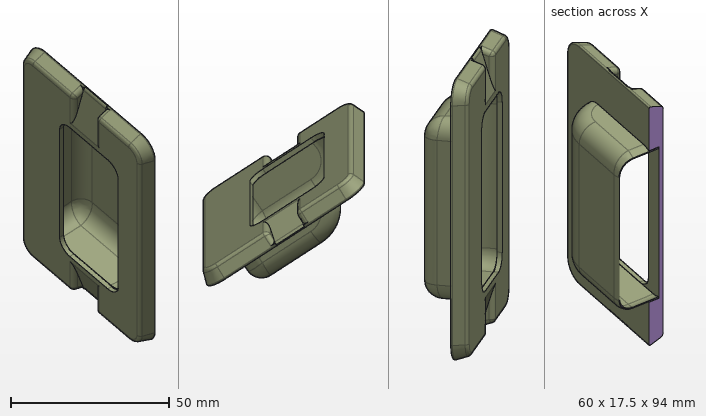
import cadquery as cq
import math


plate_width = 60.0
plate_height = 94.0
plate_thickness = 5.45
plate_corner_radius = 7.05
side_taper = 20.0
front_edge_radius = 1.5
back_edge_radius = 0.5

skin_thickness = 1.7
opening_left = -10.15
opening_right = 18.05
opening_height = 60.2
opening_corner_radius = 4.9

notch_center_x = 1.9
notch_width = 14.1
notch_start_z = 32.3
notch_angle = 17.0
notch_edge_radius = 1.7
notch_lip_radius = 1.7
notch_floor_width = notch_width - 2 * notch_edge_radius

overall_depth = 17.5
cup_left = -19.2
cup_right = 19.0
cup_height = 60.9
cup_wall = 0.5
cup_sweep_radius = 13.5
cup_left_radius = 5.1
cup_end_radius = 6.2

tolerance = 0.01

taper_slope = math.tan(math.radians(side_taper))
ramp_slope = math.tan(math.radians(notch_angle))

rim_loss = back_edge_radius * (taper_slope + 1 / math.cos(math.radians(side_taper)) - 1)
sharp_width = plate_width + 2 * rim_loss
sharp_height = plate_height + 2 * rim_loss


def plate_blank():
    """Rounded rectangle tapering towards the front, with both rims rounded."""
    blank = (
        cq.Workplane("XZ", origin=(0, plate_thickness, 0))
        .sketch()
        .rect(sharp_width, sharp_height)
        .vertices()
        .fillet(plate_corner_radius)
        .finalize()
        .extrude(plate_thickness, taper=side_taper)
    )
    blank = blank.faces("<Y").edges().fillet(front_edge_radius)
    return blank.faces(">Y").edges().fillet(back_edge_radius)


def notch_cutter(lip_radius=0):
    """Wedge above the ramp of the top notch; a lip radius rolls the ramp over into the plate's side."""
    top_z = sharp_height / 2
    front_z = top_z - plate_thickness * taper_slope
    lip_y = (front_z - notch_start_z) * ramp_slope / (1 - ramp_slope * taper_slope)
    lip_z = front_z + lip_y * taper_slope
    outside_z = top_z + plate_thickness
    outline = [
        (0, notch_start_z),
        (lip_y, lip_z),
        (plate_thickness, top_z),
        (plate_thickness, outside_z),
        (-plate_thickness, outside_z),
        (-plate_thickness, notch_start_z),
    ]
    wedge = (
        cq.Workplane("YZ", origin=(notch_center_x - notch_floor_width / 2, 0, 0))
        .polyline(outline)
        .close()
        .extrude(notch_floor_width)
    )
    if lip_radius:
        lip = cq.selectors.NearestToPointSelector((notch_center_x, lip_y, lip_z))
        wedge = wedge.edges(lip).fillet(lip_radius)
    return wedge


def is_notch_rim(edge):
    """True for the outer edges of a notch's side walls, which lie on the plate's front and tapered side."""
    box = edge.BoundingBox()
    on_wall = abs(abs(edge.Center().x - notch_center_x) - notch_floor_width / 2) < tolerance
    along_ramp = box.ymin < tolerance and box.ymax > front_edge_radius
    return on_wall and box.xlen < tolerance and not along_ramp


def with_notches(plate):
    """Cut both notches, round the rims of their side walls, then roll their lips over."""
    top = notch_cutter()
    plate = plate.cut(top).cut(top.mirror("XY"))
    rim = [edge for edge in plate.edges().vals() if is_notch_rim(edge)]
    plate = cq.Workplane(plate.val().fillet(notch_edge_radius, rim))
    lip = notch_cutter(notch_lip_radius)
    return plate.cut(lip).cut(lip.mirror("XY"))


def cup_shape(inset):
    """Solid filling the cup's outer surface moved inwards by `inset`."""
    left = cup_left + inset
    back = overall_depth - inset
    sweep = cup_sweep_radius - inset
    axis_x = cup_right - cup_sweep_radius
    axis_y = overall_depth - cup_sweep_radius
    right = axis_x + math.sqrt(sweep**2 - (axis_y - skin_thickness) ** 2)
    height = cup_height - 2 * inset
    diagonal = sweep * math.sqrt(0.5)
    block = (
        cq.Workplane("XY", origin=(0, 0, -height / 2))
        .moveTo(left, skin_thickness)
        .lineTo(right, skin_thickness)
        .threePointArc((axis_x + diagonal, axis_y + diagonal), (axis_x, back))
        .lineTo(left, back)
        .close()
        .extrude(height)
    )
    block = block.edges("<X and >Y").fillet(cup_left_radius - inset)
    return block.faces("<Z or >Z").edges("not <Y").fillet(cup_end_radius - inset)


def face_plate():
    """Plate with its notches, front opening and the recess that holds the cup."""
    opening = (
        cq.Workplane("XZ", origin=((opening_left + opening_right) / 2, 0, 0))
        .sketch()
        .rect(opening_right - opening_left, opening_height)
        .vertices()
        .fillet(opening_corner_radius)
        .finalize()
        .extrude(-skin_thickness)
    )
    return with_notches(plate_blank()).cut(opening).cut(cup_shape(0))


def finger_cup():
    """Thin-walled cup, open at the front and reaching sideways behind the skin."""
    return cup_shape(0).cut(cup_shape(cup_wall))


plate = face_plate()
cup = finger_cup()

result = cq.Compound.makeCompound([plate.val(), cup.val()])